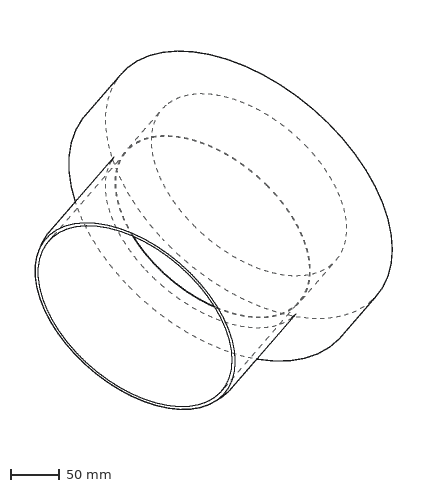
import cadquery as cq

flange_diameter = 352.0
flange_thickness = 77.0
neck_diameter = 250.0
neck_bore_diameter = 238.0
flange_bore_diameter = 239.7
flange_bore_depth = 71.0
total_length = 223.0
edge_radius = 7.0
tip_taper_length = 8.5
tip_taper_depth = 2.0

flange_radius = flange_diameter / 2
neck_radius = neck_diameter / 2
neck_bore_radius = neck_bore_diameter / 2
flange_bore_radius = flange_bore_diameter / 2

flange_front = -flange_thickness
neck_tip = -total_length

half_section = (
    cq.Workplane("XY")
    .moveTo(flange_bore_radius, 0)
    .lineTo(flange_radius, 0)
    .lineTo(flange_radius, flange_front + edge_radius)
    .radiusArc((flange_radius - edge_radius, flange_front), edge_radius)
    .lineTo(neck_radius + edge_radius, flange_front)
    .radiusArc((neck_radius, flange_front - edge_radius), -edge_radius)
    .lineTo(neck_radius, neck_tip + tip_taper_length)
    .lineTo(neck_radius - tip_taper_depth, neck_tip)
    .lineTo(neck_bore_radius, neck_tip)
    .lineTo(neck_bore_radius, -flange_bore_depth)
    .lineTo(flange_bore_radius, -flange_bore_depth)
    .close()
)

result = half_section.revolve(360, (0, 0, 0), (0, 1, 0))